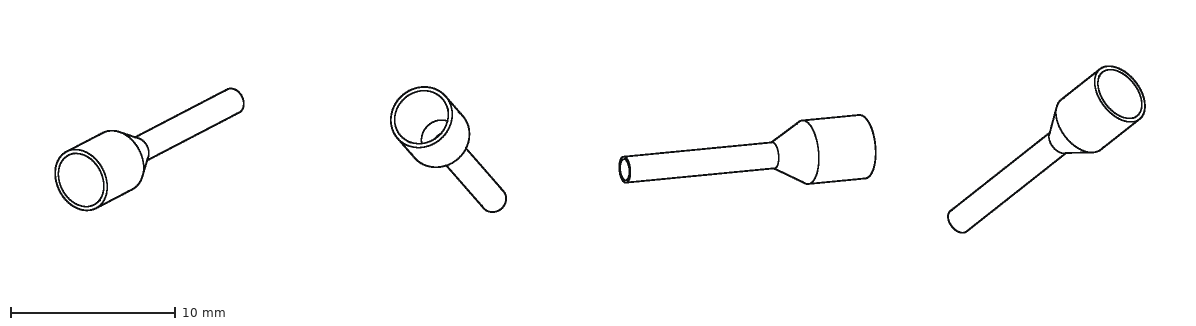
import cadquery as cq

total_length = 16.0
tube_length = 10.0
sleeve_length = 3.84
tube_start = total_length - tube_length

sleeve_diameter = 3.9
tube_diameter = 1.6

mouth_diameter = 3.4
throat_diameter = 2.35
bore_diameter = 1.3
throat_depth = 4.1
funnel_length = 0.9
bore_start = throat_depth + funnel_length


def revolve_about_y(radius_and_y_points):
    """Revolve a closed half profile of (radius, y) points around the Y axis."""
    profile = cq.Workplane("XY").polyline(radius_and_y_points).close()
    return profile.revolve(360, (0, 0, 0), (0, 1, 0))


def ferrule_body():
    """Solid outer shape: sleeve, conical neck and tube."""
    return revolve_about_y([
        (0, 0),
        (sleeve_diameter / 2, 0),
        (sleeve_diameter / 2, sleeve_length),
        (tube_diameter / 2, tube_start),
        (tube_diameter / 2, total_length),
        (0, total_length),
    ])


def wire_passage():
    """Hollow running from the wide mouth to the end of the tube."""
    return revolve_about_y([
        (0, 0),
        (mouth_diameter / 2, 0),
        (throat_diameter / 2, throat_depth),
        (bore_diameter / 2, bore_start),
        (bore_diameter / 2, total_length),
        (0, total_length),
    ])


result = ferrule_body().cut(wire_passage())